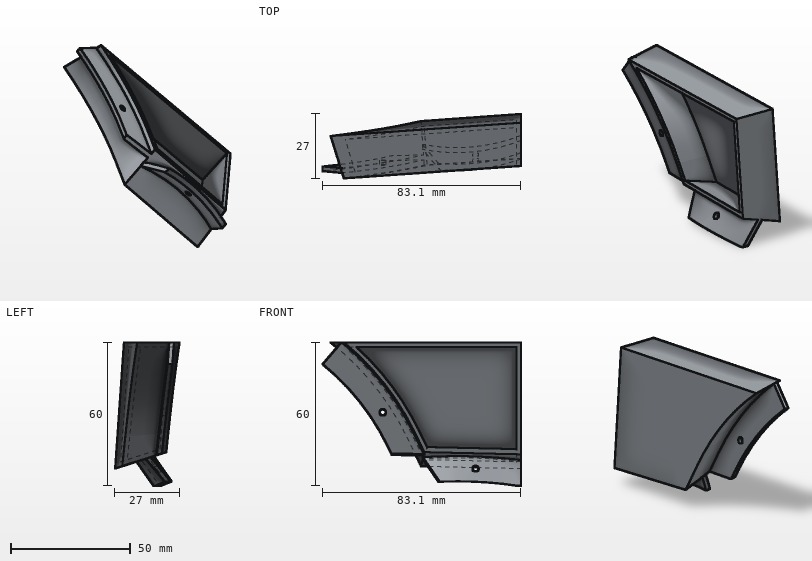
import cadquery as cq
import math


BOX_THICKNESS = 18.05
WALL = 2.0
FRONT_TILT = 4.0
BOTTOM_ANGLE = 17.8
BOTTOM_START_Z = -45.75
SIDE_DRIFT = (-0.183, 1.0, -0.10)

ARC_CENTER_X = -146.4
ARC_CENTER_Z = -87.3
SIDE_RADIUS = 113.3
STRAIGHT_BELOW = 25.9
ARC_END = 57.0
STRAIGHT_LENGTH = 40.0

FLANGE_RADIUS = 100.6
FLANGE_THICKNESS = 2.0
FLANGE_OFFSET_Y = -0.97
FLANGE_SLOPE_X = 0.0254
FLANGE_SLOPE_Z = -0.0993
FLANGE_TIP_ANGLE = 51.0
FLANGE_TOP_X = -75.25
FLANGE_EMBED = 0.5

SKIRT_ANGLE = 55.0
SKIRT_RADIUS = 73.0
SKIRT_CREST_X = -27.0
SKIRT_CREST_OFFSET = 31.85
SKIRT_THICKNESS = 2.1
SKIRT_TOP_LEFT = (-40.9, -47.9)
SKIRT_BOTTOM_LEFT = (-34.0, -58.3)
SKIRT_BOTTOM_MID = (-20.0, -58.25)
SKIRT_BOTTOM_RIGHT = (0.0, -60.0)
SKIRT_END_DRIFT = (-0.2, 1.0, 0.0)

HOLE_DIAMETER = 2.6
FLANGE_HOLE = (-57.9, -29.1)
SKIRT_HOLE = (-19.1, -52.2)
FLANGE_HOLE_AXIS = (0.0, 1.0, -0.1)
SKIRT_HOLE_AXIS = (0.0, 1.0, -0.2)
HOLE_LENGTH = 40.0

REACH = 150.0
BEYOND_RIGHT = 20.0

FRONT_SLOPE_X = math.tan(math.radians(FRONT_TILT))
FRONT_SLOPE_Z = -FRONT_SLOPE_X
BOTTOM_SLOPE = -math.tan(math.radians(BOTTOM_ANGLE))


def on_plane(x, z, offset, slope_x, slope_z):
    """Point of the plane y = offset + slope_x * x + slope_z * z."""
    return cq.Vector(x, offset + slope_x * x + slope_z * z, z)


def on_front(x, z):
    return on_plane(x, z, 0.0, FRONT_SLOPE_X, FRONT_SLOPE_Z)


def on_flange(x, z):
    return on_plane(x, z, FLANGE_OFFSET_Y, FLANGE_SLOPE_X, FLANGE_SLOPE_Z)


def on_arc(radius, angle):
    """X and Z of a point on the side arc, angle in degrees."""
    a = math.radians(angle)
    return ARC_CENTER_X + radius * math.cos(a), ARC_CENTER_Z + radius * math.sin(a)


def along_tangent(radius):
    """X and Z of the lower end of the straight line that continues the arc."""
    x, z = on_arc(radius, STRAIGHT_BELOW)
    a = math.radians(STRAIGHT_BELOW)
    return x + STRAIGHT_LENGTH * math.sin(a), z - STRAIGHT_LENGTH * math.cos(a)


def side_edges(radius, place, top_angle):
    """Side arc and its straight continuation, from top to bottom, laid on a plane."""
    middle = (STRAIGHT_BELOW + top_angle) / 2
    top, mid, low = [place(*on_arc(radius, a)) for a in (top_angle, middle, STRAIGHT_BELOW)]
    end = place(*along_tangent(radius))
    return [cq.Edge.makeThreePointArc(top, mid, low), cq.Edge.makeLine(low, end)]


def drift_travel(thickness):
    """Displacement along the side drift that crosses a thickness square to the front plane."""
    drift = cq.Vector(*SIDE_DRIFT)
    front_normal = cq.Vector(-FRONT_SLOPE_X, 1.0, -FRONT_SLOPE_Z).normalized()
    return drift * (thickness / drift.dot(front_normal))


def closed_prism(edges, corners, direction):
    """Close an open run of edges through the corner points and extrude it."""
    points = [edges[-1].endPoint()] + corners + [edges[0].startPoint()]
    lines = [cq.Edge.makeLine(a, b) for a, b in zip(points, points[1:])]
    wire = cq.Wire.assembleEdges(edges + lines)
    return cq.Workplane(obj=cq.Solid.extrudeLinear(wire, [], direction))


def above_bottom(inset):
    """Space left of the right side, below the top and above the bottom, all moved in."""
    bottom_z = BOTTOM_START_Z + inset / math.cos(math.radians(BOTTOM_ANGLE))
    profile = [
        (-REACH / 2, -inset),
        (REACH / 2, -inset),
        (REACH / 2, bottom_z + BOTTOM_SLOPE * REACH / 2),
        (-REACH / 2, bottom_z - BOTTOM_SLOPE * REACH / 2),
    ]
    return cq.Workplane("YZ", origin=(-inset, 0, 0)).polyline(profile).close().extrude(-REACH)


def box_body(inset, thickness):
    """Outer body of the box, or its pocket when moved in by the wall thickness."""
    edges = side_edges(SIDE_RADIUS + inset, on_front, ARC_END)
    top_z = edges[0].startPoint().z
    low_z = edges[-1].endPoint().z
    corners = [on_front(BEYOND_RIGHT, low_z), on_front(BEYOND_RIGHT, top_z)]
    body = closed_prism(edges, corners, drift_travel(thickness))
    return body.intersect(above_bottom(inset))


def side_flange():
    """Flat strip inside the side arc, ending on the bottom plane."""
    outer_radius = SIDE_RADIUS + FLANGE_EMBED
    top_angle = math.degrees(math.asin(-ARC_CENTER_Z / outer_radius))
    inner_edges = side_edges(FLANGE_RADIUS, on_flange, FLANGE_TIP_ANGLE)
    outer_arc, outer_line = side_edges(outer_radius, on_flange, top_angle)
    flange_top = on_flange(FLANGE_TOP_X, 0.0)
    outer_edges = [
        cq.Edge.makeLine(inner_edges[-1].endPoint(), outer_line.endPoint()),
        outer_line,
        outer_arc,
        cq.Edge.makeLine(outer_arc.startPoint(), flange_top),
        cq.Edge.makeLine(flange_top, inner_edges[0].startPoint()),
    ]
    wire = cq.Wire.assembleEdges(inner_edges + outer_edges)
    plate = cq.Solid.extrudeLinear(wire, [], cq.Vector(0, FLANGE_THICKNESS, 0))
    return cq.Workplane(obj=plate).intersect(above_bottom(0.0))


def on_skirt(x, z):
    """Point of the plane that touches the front of the skirt along its crest."""
    a = math.radians(SKIRT_ANGLE)
    return on_plane(x, z, SKIRT_CREST_OFFSET / math.sin(a), 0.0, 1 / math.tan(a))


def skirt_sag(x):
    """Distance of the skirt front from its crest plane."""
    return SKIRT_RADIUS - math.sqrt(SKIRT_RADIUS**2 - (x - SKIRT_CREST_X) ** 2)


def skirt_strip():
    """Long curved strip running down and forward, flush with the right side."""
    a = math.radians(SKIRT_ANGLE)
    plane = cq.Plane(origin=(0, 0, 0), xDir=(1, 0, 0), normal=(0, math.cos(a), math.sin(a)))
    far_x = 2 * SKIRT_CREST_X
    front = [(x, SKIRT_CREST_OFFSET + skirt_sag(x)) for x in (far_x, SKIRT_CREST_X, 0.0)]
    back = [(x, w + SKIRT_THICKNESS) for x, w in front]
    return (
        cq.Workplane(plane)
        .moveTo(*front[0])
        .threePointArc(front[1], front[2])
        .lineTo(*back[2])
        .threePointArc(back[1], back[0])
        .close()
        .extrude(-REACH / 2)
    )


def skirt_outline():
    """Block that trims the strip to its slanted left end and its curved lower edge."""
    top_x, top_z = SKIRT_TOP_LEFT
    low_x, low_z = SKIRT_BOTTOM_LEFT
    left_lean = (low_x - top_x) / (low_z - top_z)
    top_left = on_skirt(top_x - left_lean * top_z, 0.0)
    bottom = [on_skirt(*p) for p in (SKIRT_BOTTOM_LEFT, SKIRT_BOTTOM_MID, SKIRT_BOTTOM_RIGHT)]
    low_right = cq.Vector(BEYOND_RIGHT, bottom[2].y, bottom[2].z)
    arc = cq.Edge.makeThreePointArc(*bottom)
    corners = [low_right, on_skirt(BEYOND_RIGHT, 0.0), top_left]
    rearward = cq.Vector(*SKIRT_END_DRIFT) * (REACH / 2)
    return closed_prism([arc], corners, rearward).union(closed_prism([arc], corners, -rearward))


def hole(position, axis):
    """Drill through a strip; the middle of the drill lies at Y = 0."""
    x, z = position
    direction = cq.Vector(*axis).normalized()
    start = cq.Vector(x, 0, z) - direction * (HOLE_LENGTH / 2)
    return cq.Workplane(obj=cq.Solid.makeCylinder(HOLE_DIAMETER / 2, HOLE_LENGTH, start, direction))


skirt = skirt_strip().intersect(skirt_outline()).cut(above_bottom(0.0))
flange = side_flange().cut(hole(FLANGE_HOLE, FLANGE_HOLE_AXIS))
skirt = skirt.cut(hole(SKIRT_HOLE, SKIRT_HOLE_AXIS))
pocket = box_body(WALL, BOX_THICKNESS - WALL)
result = box_body(0.0, BOX_THICKNESS).union(flange).union(skirt).cut(pocket)